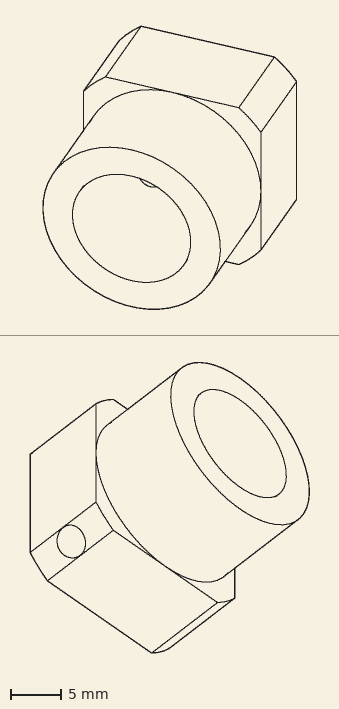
import cadquery as cq

total_length = 20.32
block_width = 19.05
block_length = 9.53
corner_diameter = 23.84
bore_diameter = 12.7
cross_hole_diameter = 3.3

sleeve_length = total_length - block_length
block_middle = total_length - block_length / 2
corner_direction = cq.Vector(-1, 0, -1)


def cylinder_along_y(diameter, length, start=0.0):
    """Cylinder on the bore axis, growing toward +Y from the start position."""
    return cq.Workplane(
        cq.Solid.makeCylinder(diameter / 2, length, cq.Vector(0, start, 0), cq.Vector(0, 1, 0))
    )


square_block = cq.Workplane("XY").box(block_width, block_length, block_width)
square_block = square_block.translate((0, block_middle, 0))
block = square_block.intersect(cylinder_along_y(corner_diameter, block_length, sleeve_length))

sleeve = cylinder_along_y(block_width, sleeve_length)
body = block.union(sleeve).cut(cylinder_along_y(bore_diameter, total_length))

cross_hole = cq.Workplane(
    cq.Solid.makeCylinder(
        cross_hole_diameter / 2, corner_diameter, cq.Vector(0, block_middle, 0), corner_direction
    )
)
result = body.cut(cross_hole)